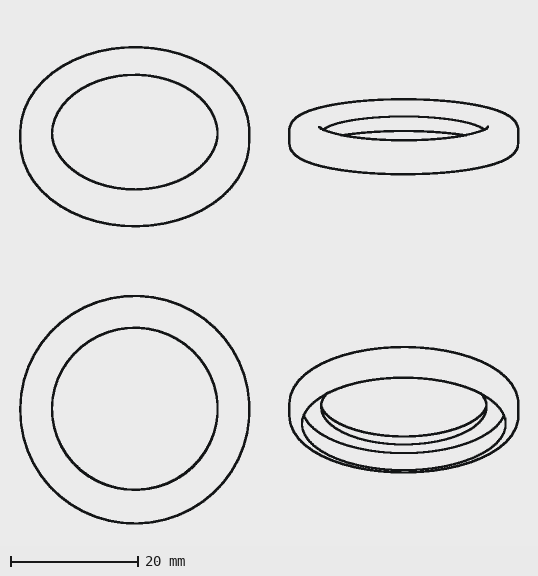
import cadquery as cq

outer_diameter = 36.0
hole_diameter = 26.0
recess_diameter = 32.0
thickness = 5.0
lip_thickness = 2.0
edge_radius = 1.5

ring = (
    cq.Workplane("XY")
    .circle(outer_diameter / 2)
    .circle(hole_diameter / 2)
    .extrude(thickness)
)

ring = ring.faces(">Z").edges().fillet(edge_radius)
outer_bottom_rim = cq.selectors.RadiusNthSelector(-1)
ring = ring.faces("<Z").edges(outer_bottom_rim).fillet(edge_radius)

recess = cq.Workplane("XY").circle(recess_diameter / 2).extrude(thickness - lip_thickness)

result = ring.cut(recess)